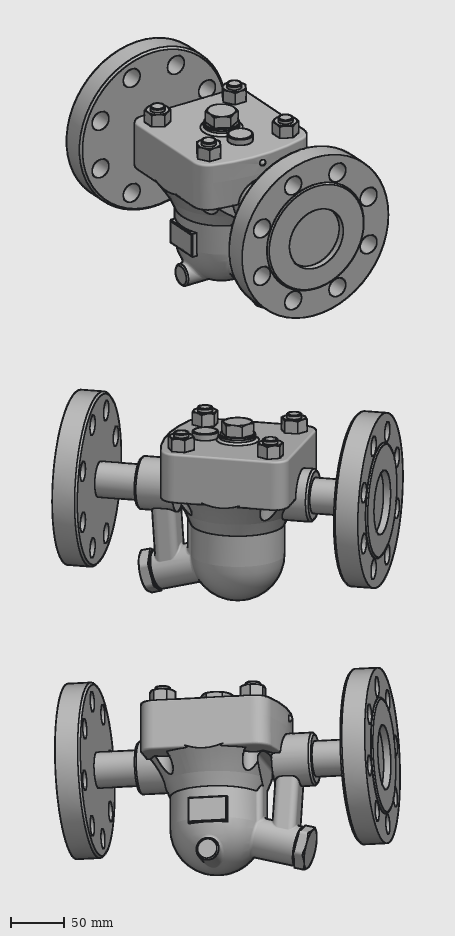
import cadquery as cq
import math

LENGTH = 300.0
BOWL_X = -10.0

FLANGE_DIA = 165.0
FLANGE_THICK = 24.0
FLANGE_CHAMFER = 2.0
RAISED_DIA = 109.2
RAISED_HEIGHT = 1.8
RAISED_CHAMFER = 1.5
RECESS_DIA = 60.5
RECESS_DEPTH = 7.0
RECESS_Z = -1.8
HOLE_COUNT = 8
HOLE_DIA = 19.0
HOLE_CIRCLE_DIA = 130.0

PIPE_DIA = 34.0
SOCKET_DIA = 50.0
SOCKET_LENGTH = 168.5
SOCKET_CHAMFER = 2.0

COVER_TOP = 49.0
COVER_JOINT = 29.7
COVER_BOTTOM = 1.2
COVER_LEFT = -72.5
COVER_WIDTH = 125.5
COVER_LEFT_RADIUS = 13.8
COVER_RIGHT_RADIUS = 17.0
COVER_RIGHT_CORNER_X = 35.0
COVER_NOSE_X = 59.0
COVER_NOSE_BOTTOM_X = 57.0
COVER_FILLET = 2.0
NOSE_BUMP_RADIUS = 3.0
NOSE_BUMP_Z = 40.5

STUD_SPACING = 86.5
STUD_DIA = 14.0
STUD_TOP = 65.5
STUD_CHAMFER = 1.0
NUT_CORNERS = 25.0
NUT_TOP = 61.5
SPOTFACE_DIA = 19.5

PLUG_FOOT_DIA = 40.0
PLUG_FOOT_HEIGHT = 2.0
PLUG_COLLAR_DIA = 34.0
PLUG_COLLAR_TOP = 53.0
PLUG_WASHER_DIA = 33.0
PLUG_WASHER_TOP = 55.0
PLUG_HEX_CORNERS = 31.0
PLUG_TOP = 66.5
BUTTON_X = 21.5
BUTTON_DIA = 24.0
BUTTON_TOP = 55.5
BUTTON_CHAMFER = 1.0

BOWL_RADIUS = 44.0
BOWL_BOTTOM = -106.5
CONE_BOTTOM = -32.5
NECK_BOTTOM = -19.5
NECK_RADIUS = 49.8
NECK_TOP = 4.0
NECK_MIDDLE = -7.8
NECK_MIDDLE_RADIUS = 57.3
NECK_TOP_RADIUS = 65.7

FRONT_REACH = 46.0
PLATE_WIDTH = 37.0
PLATE_HEIGHT = 24.0
PLATE_Z = -55.0
PLATE_CHAMFER = 1.0
DRAIN_DIA = 21.5
DRAIN_Z = -93.3
DRAIN_CHAMFER = 1.5
DRAIN_FILLET = 3.0

PASSAGE_WIDTH = 32.5
PASSAGE_CORNER = 6.5
RIB_FACE_X = 36.0
RIB_BOTTOM = -74.7
SOCKET_START_X = 47.0
GAP_TOP = 0.5
GAP_CORNER = 4.8
GAP_HEIGHT = 51.0
DUCT_THICK = 22.8
DUCT_TOP = -9.0
DUCT_LENGTH = 67.5
DUCT_TOP_X = 60.0
DUCT_TILT = 3.8
DUCT_FILLET = 1.5

STRAINER_DIA = 38.0
STRAINER_TILT = 15.0
STRAINER_END_X = 68.0
STRAINER_END_Z = -83.7
STRAINER_LENGTH = 66.0
STRAINER_FILLET = 3.0
CAP_CORNERS = 43.2
CAP_EDGE_RADIUS = 4.5
CAP_THICK = 10.2
CAP_GASKET_DIA = 36.0
CAP_GASKET_THICK = 1.5

STRAINER_ROOT_REGION = ((21, -21, -90), (42, 21, -54))
DRAIN_ROOT_REGION = ((-15, -33, -99), (-3, -21, -87))
DUCT_ROOT_REGION = ((43.5, -21, -87), (69, 21, -55.5))


def disc(dia, bottom, top, x=BOWL_X, y=0.0):
    """Vertical cylinder between two heights."""
    return cq.Workplane("XY", origin=(x, y, bottom)).circle(dia / 2).extrude(top - bottom)


def chamfered_hexagon(plane, corners, height, turn=0.0, edge_radius=0.0):
    """Hexagonal prism on a plane, its outer corners rounded off by a 30 degree cone."""
    flats = corners * math.cos(math.radians(30))
    drop = (corners - flats) / 2 * math.tan(math.radians(30))
    hexagon = cq.Workplane(plane).transformed(rotate=(0, 0, turn)).polygon(6, corners).extrude(height)
    if edge_radius > 0:
        hexagon = hexagon.edges(cq.selectors.ParallelDirSelector(plane.zDir)).fillet(edge_radius)
    profile = [
        (0, 0),
        (corners / 2, 0),
        (corners / 2, height - drop),
        (flats / 2, height),
        (0, height),
    ]
    envelope = cq.Workplane("XZ").polyline(profile).close().revolve(360, (0, 0, 0), (0, 1, 0))
    return hexagon.intersect(cq.Workplane(obj=envelope.val().moved(cq.Location(plane))))


def pipe_end():
    """Flange, raised face, recess and pipe at the -X end."""
    face_x = -LENGTH / 2
    flange_x = face_x + RAISED_HEIGHT
    flange = cq.Workplane("YZ", origin=(flange_x, 0, 0)).circle(FLANGE_DIA / 2).extrude(FLANGE_THICK)
    flange = flange.faces(">X").chamfer(FLANGE_CHAMFER)
    raised = cq.Workplane("YZ", origin=(face_x, 0, 0)).circle(RAISED_DIA / 2)
    raised = raised.extrude(RAISED_HEIGHT).faces("<X").chamfer(RAISED_CHAMFER)
    pipe = cq.Workplane("YZ", origin=(flange_x + FLANGE_THICK, 0, 0)).circle(PIPE_DIA / 2)
    pipe = pipe.extrude(-flange_x - FLANGE_THICK - SOCKET_LENGTH / 2 + SOCKET_CHAMFER)
    recess = cq.Workplane("YZ", origin=(face_x, 0, RECESS_Z)).circle(RECESS_DIA / 2).extrude(RECESS_DEPTH)
    holes = (
        cq.Workplane("YZ", origin=(flange_x, 0, 0))
        .polarArray(HOLE_CIRCLE_DIA / 2, 180 / HOLE_COUNT, 360, HOLE_COUNT)
        .circle(HOLE_DIA / 2)
        .extrude(FLANGE_THICK)
    )
    return flange.union(raised).union(pipe).cut(recess).cut(holes)


def cover_outline(nose_x, height):
    """Closed outline with two small left corners and a bowed right side."""
    half = COVER_WIDTH / 2
    corner_y = half - COVER_RIGHT_RADIUS
    reach = nose_x - COVER_RIGHT_CORNER_X
    bow = (reach**2 + corner_y**2 - COVER_RIGHT_RADIUS**2) / (2 * (reach - COVER_RIGHT_RADIUS))
    angle = math.asin(corner_y / (bow - COVER_RIGHT_RADIUS))
    join_x = COVER_RIGHT_CORNER_X + COVER_RIGHT_RADIUS * math.cos(angle)
    join_y = corner_y + COVER_RIGHT_RADIUS * math.sin(angle)
    middle = (angle + math.pi / 2) / 2
    middle_x = COVER_RIGHT_CORNER_X + COVER_RIGHT_RADIUS * math.cos(middle)
    middle_y = corner_y + COVER_RIGHT_RADIUS * math.sin(middle)
    left_x = COVER_LEFT + COVER_LEFT_RADIUS
    left_y = half - COVER_LEFT_RADIUS
    left_middle = COVER_LEFT_RADIUS * math.sqrt(0.5)
    return (
        cq.Workplane("XY", origin=(0, 0, height))
        .moveTo(left_x, -half)
        .lineTo(COVER_RIGHT_CORNER_X, -half)
        .threePointArc((middle_x, -middle_y), (join_x, -join_y))
        .threePointArc((nose_x, 0), (join_x, join_y))
        .threePointArc((middle_x, middle_y), (COVER_RIGHT_CORNER_X, half))
        .lineTo(left_x, half)
        .threePointArc((left_x - left_middle, left_y + left_middle), (COVER_LEFT, left_y))
        .lineTo(COVER_LEFT, -left_y)
        .threePointArc((left_x - left_middle, -left_y - left_middle), (left_x, -half))
        .close()
    )


def cover():
    """Cover plate and the body flange below it, whose bowed side leans inward."""
    plate = cover_outline(COVER_NOSE_X, COVER_JOINT).extrude(COVER_TOP - COVER_JOINT)
    plate = plate.faces(">Z").fillet(COVER_FILLET)
    top_wire = cover_outline(COVER_NOSE_X, COVER_JOINT).val()
    bottom_wire = cover_outline(COVER_NOSE_BOTTOM_X, COVER_BOTTOM).val()
    flange = cq.Workplane(obj=cq.Solid.makeLoft([bottom_wire, top_wire], True))
    flange = flange.faces("<Z").fillet(COVER_FILLET)
    bump = cq.Workplane("XY").sphere(NOSE_BUMP_RADIUS).translate((COVER_NOSE_X, 0, NOSE_BUMP_Z))
    return plate.union(flange).union(bump)


def stud_positions():
    """Stud centres, counter-clockwise from the front left corner."""
    half = STUD_SPACING / 2
    return [(BOWL_X + sx * half, sy * half) for sx, sy in [(-1, -1), (1, -1), (1, 1), (-1, 1)]]


def stud_and_nut(x, y, turn):
    """Hexagon nut on the cover with a stud end standing out of it."""
    plane = cq.Plane(origin=(x, y, COVER_TOP))
    nut = chamfered_hexagon(plane, NUT_CORNERS, NUT_TOP - COVER_TOP, turn)
    return nut.union(disc(STUD_DIA, COVER_TOP, STUD_TOP, x, y).faces(">Z").chamfer(STUD_CHAMFER))


def cover_plug():
    """Hexagon plug on a washer and a collar with a flared foot."""
    foot_top = COVER_TOP + PLUG_FOOT_HEIGHT
    profile = [
        (0, COVER_TOP),
        (PLUG_FOOT_DIA / 2, COVER_TOP),
        (PLUG_COLLAR_DIA / 2, foot_top),
        (PLUG_COLLAR_DIA / 2, PLUG_COLLAR_TOP),
        (PLUG_WASHER_DIA / 2, PLUG_COLLAR_TOP),
        (PLUG_WASHER_DIA / 2, PLUG_WASHER_TOP),
        (0, PLUG_WASHER_TOP),
    ]
    foot = cq.Workplane("XZ").polyline(profile).close().revolve(360, (0, 0, 0), (0, 1, 0))
    plane = cq.Plane(origin=(BOWL_X, 0, PLUG_WASHER_TOP))
    head = chamfered_hexagon(plane, PLUG_HEX_CORNERS, PLUG_TOP - PLUG_WASHER_TOP)
    return foot.translate((BOWL_X, 0, 0)).union(head)


def bowl():
    """Round-bottomed bowl with a cone on top."""
    centre_z = BOWL_BOTTOM + BOWL_RADIUS
    bend = BOWL_RADIUS * math.sqrt(0.5)
    solid = (
        cq.Workplane("XZ")
        .moveTo(0, BOWL_BOTTOM)
        .threePointArc((bend, centre_z - bend), (BOWL_RADIUS, centre_z))
        .lineTo(BOWL_RADIUS, CONE_BOTTOM)
        .lineTo(NECK_RADIUS, NECK_BOTTOM)
        .lineTo(0, NECK_BOTTOM)
        .close()
        .revolve(360, (0, 0, 0), (0, 1, 0))
    )
    return solid.translate((BOWL_X, 0, 0))


def neck():
    """Curved flare from the cone up to the cover, held inside the cover outline."""
    flare = (
        cq.Workplane("XZ")
        .moveTo(0, NECK_BOTTOM)
        .lineTo(NECK_RADIUS, NECK_BOTTOM)
        .threePointArc((NECK_MIDDLE_RADIUS, NECK_MIDDLE), (NECK_TOP_RADIUS, NECK_TOP))
        .lineTo(0, NECK_TOP)
        .close()
        .revolve(360, (0, 0, 0), (0, 1, 0))
        .translate((BOWL_X, 0, 0))
    )
    limit = cover_outline(COVER_NOSE_BOTTOM_X, NECK_BOTTOM).extrude(NECK_TOP - NECK_BOTTOM)
    return flare.intersect(limit)


def bowl_rib():
    """Upright rib on the bowl, facing the outlet, from the strainer up to the cover."""
    depth = RIB_FACE_X - BOWL_X
    height = COVER_BOTTOM - RIB_BOTTOM
    rib = cq.Workplane("XY").box(depth, PASSAGE_WIDTH, height, (False, True, False))
    rib = rib.edges("|Z and >X").fillet(PASSAGE_CORNER)
    return rib.translate((BOWL_X, 0, RIB_BOTTOM))


def passage_gap():
    """Round-topped gap between the bowl and the outlet socket."""
    width = SOCKET_START_X - RIB_FACE_X
    gap = cq.Workplane("XZ").rect(width, GAP_HEIGHT).extrude(COVER_WIDTH, both=True)
    gap = gap.edges("|Y and >Z").fillet(GAP_CORNER)
    return gap.translate(((RIB_FACE_X + SOCKET_START_X) / 2, 0, GAP_TOP - GAP_HEIGHT / 2))


def duct():
    """Leaning duct with rounded corners from the outlet socket down to the strainer."""
    solid = cq.Workplane("XY").rect(DUCT_THICK, PASSAGE_WIDTH).extrude(-DUCT_LENGTH)
    solid = solid.edges("|Z").fillet(PASSAGE_CORNER)
    return solid.rotate((0, 0, 0), (0, 1, 0), DUCT_TILT).translate((DUCT_TOP_X, 0, DUCT_TOP))


def strainer_plane():
    """Plane across the outer end of the strainer tube."""
    tilt = math.radians(STRAINER_TILT)
    origin = (STRAINER_END_X, 0, STRAINER_END_Z)
    return cq.Plane(origin, (math.sin(tilt), 0, math.cos(tilt)), (math.cos(tilt), 0, -math.sin(tilt)))


def strainer_tube():
    """Inclined tube running from inside the bowl to the cap."""
    return cq.Workplane(strainer_plane()).circle(STRAINER_DIA / 2).extrude(-STRAINER_LENGTH)


def strainer_cap():
    """Thin gasket and hexagon cap on the end of the strainer tube."""
    gasket = cq.Workplane(strainer_plane()).circle(CAP_GASKET_DIA / 2).extrude(CAP_GASKET_THICK)
    plane = cq.Workplane(strainer_plane()).workplane(offset=CAP_GASKET_THICK).plane
    return gasket.union(chamfered_hexagon(plane, CAP_CORNERS, CAP_THICK, edge_radius=CAP_EDGE_RADIUS))


def name_plate():
    """Flat rectangular plate standing on the front of the bowl."""
    plate = cq.Workplane("XZ").rect(PLATE_WIDTH, PLATE_HEIGHT).extrude(FRONT_REACH)
    return plate.faces("<Y").chamfer(PLATE_CHAMFER).translate((BOWL_X, 0, PLATE_Z))


def drain_stub():
    """Plain round stub low on the front of the bowl."""
    stub = cq.Workplane("XZ").circle(DRAIN_DIA / 2).extrude(FRONT_REACH)
    return stub.faces("<Y").chamfer(DRAIN_CHAMFER).translate((BOWL_X, 0, DRAIN_Z))


def round_root(solid, region, radius):
    """Fillet the edges whose centres lie inside a box."""
    return solid.edges(cq.selectors.BoxSelector(*region)).fillet(radius)


inlet_end = pipe_end()
outlet_end = inlet_end.mirror("YZ")
socket = cq.Workplane("YZ").circle(SOCKET_DIA / 2).extrude(SOCKET_LENGTH / 2, both=True)
socket = socket.faces("<X or >X").chamfer(SOCKET_CHAMFER)

body = bowl().union(neck()).union(socket).union(bowl_rib()).cut(passage_gap())
for stud_x, stud_y in stud_positions():
    body = body.cut(disc(SPOTFACE_DIA, NECK_BOTTOM, NECK_TOP, stud_x, stud_y))
body = body.union(strainer_tube()).union(drain_stub())
body = round_root(body, STRAINER_ROOT_REGION, STRAINER_FILLET)
body = round_root(body, DRAIN_ROOT_REGION, DRAIN_FILLET)
body = body.union(duct())
body = round_root(body, DUCT_ROOT_REGION, DUCT_FILLET)
body = body.union(strainer_cap()).union(name_plate())

result = body.union(cover()).union(inlet_end).union(outlet_end)
for number, (stud_x, stud_y) in enumerate(stud_positions()):
    result = result.union(stud_and_nut(stud_x, stud_y, 90 * number))
button = disc(BUTTON_DIA, COVER_TOP, BUTTON_TOP, BUTTON_X).faces(">Z").chamfer(BUTTON_CHAMFER)
result = result.union(cover_plug()).union(button)